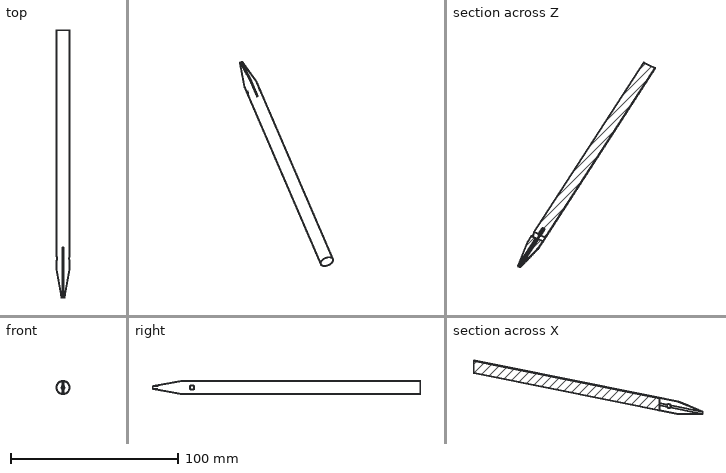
import cadquery as cq

LENGTH = 160.0
ROD_DIAMETER = 7.9

TIP_DIAMETER = 1.8
TAPER_LENGTH = 17.0

COLLAR_LENGTH = 13.0

SLOT_WIDTH = 0.6
BORE_DIAMETER = 1.5

CLEARANCE_DIAMETER = 3.0
TAPPED_DIAMETER = 2.59

tip_y = -LENGTH / 2
collar_front_y = tip_y + TAPER_LENGTH
collar_back_y = collar_front_y + COLLAR_LENGTH
slot_length = TAPER_LENGTH + COLLAR_LENGTH


def make_body():
    """Rod and taper, revolved about the Y axis."""
    return (
        cq.Workplane("XY")
        .moveTo(0, tip_y)
        .lineTo(TIP_DIAMETER / 2, tip_y)
        .lineTo(ROD_DIAMETER / 2, collar_front_y)
        .lineTo(ROD_DIAMETER / 2, tip_y + LENGTH)
        .lineTo(0, tip_y + LENGTH)
        .close()
        .revolve(360, (0, 0, 0), (0, 1, 0))
    )


def make_slot():
    """Narrow slot that splits the taper and collar into two jaws."""
    slot_center_y = tip_y + slot_length / 2
    return (
        cq.Workplane("XY", origin=(0, slot_center_y, 0))
        .box(SLOT_WIDTH, slot_length, ROD_DIAMETER)
    )


def make_bore():
    """Axial bore from the tip to the end of the slot."""
    return (
        cq.Workplane("XZ", origin=(0, tip_y, 0))
        .circle(BORE_DIAMETER / 2)
        .extrude(-slot_length)
    )


def make_cross_hole():
    """Clearance hole in the -X jaw and a smaller tapped-size hole in the +X jaw."""
    hole_y = (collar_front_y + collar_back_y) / 2
    start = cq.Workplane("YZ", origin=(0, hole_y, 0))
    clearance = start.circle(CLEARANCE_DIAMETER / 2).extrude(-ROD_DIAMETER)
    tapped = start.circle(TAPPED_DIAMETER / 2).extrude(ROD_DIAMETER)
    return clearance.union(tapped)


result = make_body().cut(make_slot()).cut(make_bore()).cut(make_cross_hole())